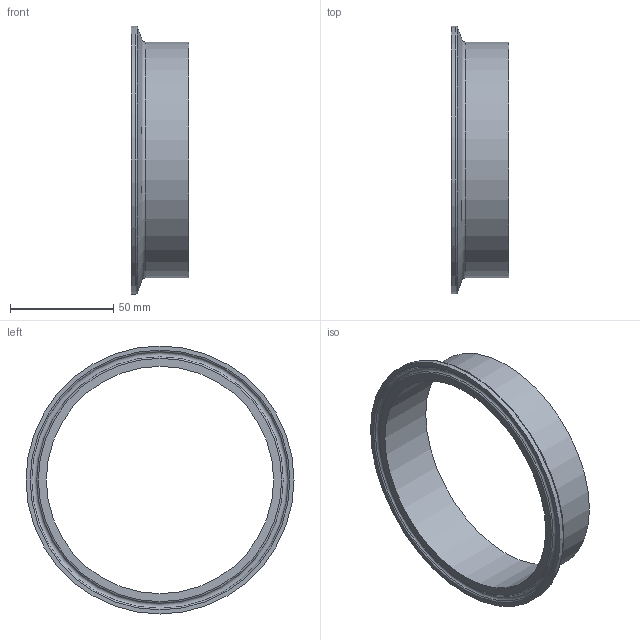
import cadquery as cq
import math


length = 28.0
tube_radius = 114.3 / 2
wall = 2.0
bore_radius = tube_radius - wall

flange_radius = 130.0 / 2
rim_width = 2.85
taper = math.radians(20.0)
rim_round = 0.8
neck_fillet = 2.0

groove_radius = 122.0 / 2
groove_width = 4.0
groove_bottom_round = 1.35
groove_lip_round = 0.8
groove_wall = math.asin(groove_width / 2 / (groove_bottom_round + groove_lip_round))


def corner_arc(corner, radius, to_start, to_end):
    """Return start, middle and end of an arc rounding a corner.

    to_start and to_end are unit vectors from the corner along its two sides.
    """
    dot = to_start[0] * to_end[0] + to_start[1] * to_end[1]
    half_angle = math.acos(dot) / 2
    setback = radius / math.tan(half_angle)
    start = tuple(c + setback * d for c, d in zip(corner, to_start))
    end = tuple(c + setback * d for c, d in zip(corner, to_end))
    gap = radius / math.sin(half_angle) - radius
    bisector_length = 2 * math.cos(half_angle)
    middle = tuple(
        c + gap * (a + b) / bisector_length
        for c, a, b in zip(corner, to_start, to_end)
    )
    return start, middle, end


def make_body():
    """Revolve the tube and flange section, drawn as (X, radius), about X."""
    down_taper = (math.sin(taper), -math.cos(taper))
    up_taper = (-math.sin(taper), math.cos(taper))
    rim_corner = (rim_width, flange_radius)
    neck_corner = (rim_width + (flange_radius - tube_radius) * math.tan(taper), tube_radius)
    rim_start, rim_middle, rim_end = corner_arc(rim_corner, rim_round, (-1, 0), down_taper)
    neck_start, neck_middle, neck_end = corner_arc(neck_corner, neck_fillet, up_taper, (1, 0))
    return (
        cq.Workplane("XZ")
        .moveTo(0, bore_radius)
        .lineTo(0, flange_radius)
        .lineTo(*rim_start)
        .threePointArc(rim_middle, rim_end)
        .lineTo(*neck_start)
        .threePointArc(neck_middle, neck_end)
        .lineTo(length, tube_radius)
        .lineTo(length, bore_radius)
        .close()
        .revolve(360, (0, 0, 0), (1, 0, 0))
    )


def make_groove():
    """Ring to cut: a round-bottomed groove whose lips blend into the flat face."""
    half_bottom = groove_bottom_round * math.sin(groove_wall)
    half_mouth = groove_width / 2
    lip_depth = groove_lip_round * (1 - math.cos(groove_wall))
    depth = lip_depth + groove_bottom_round * (1 - math.cos(groove_wall))
    lip_middle_offset = half_mouth - groove_lip_round * math.sin(groove_wall / 2)
    lip_middle_depth = groove_lip_round * (1 - math.cos(groove_wall / 2))
    return (
        cq.Workplane("XZ")
        .moveTo(0, groove_radius + half_mouth)
        .threePointArc(
            (lip_middle_depth, groove_radius + lip_middle_offset),
            (lip_depth, groove_radius + half_bottom),
        )
        .threePointArc((depth, groove_radius), (lip_depth, groove_radius - half_bottom))
        .threePointArc(
            (lip_middle_depth, groove_radius - lip_middle_offset),
            (0, groove_radius - half_mouth),
        )
        .close()
        .revolve(360, (0, 0, 0), (1, 0, 0))
    )


result = make_body().cut(make_groove())